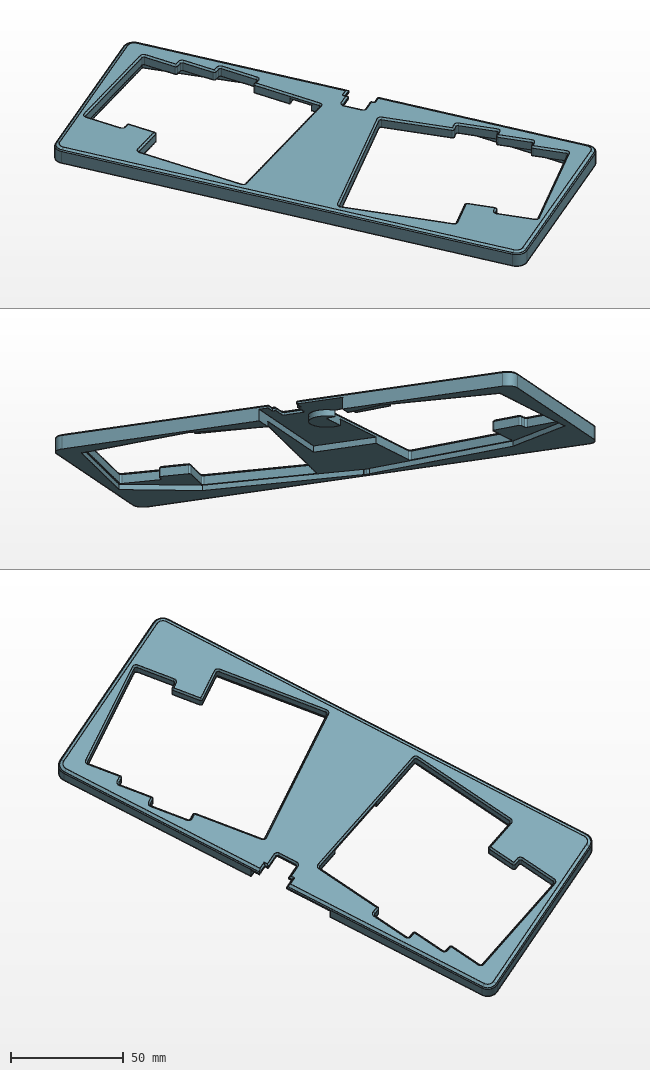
import cadquery as cq
length = 225.1
width = 91.2
height = 7.5
corner_radius = 5.0
edge_chamfer = 1.1

tilt = 7.0
column_count = 5
opening_left = -105.1
opening_right = -17.5
opening_bottom = -42.8
column_width = 19.4
column_height = 53.5
first_column_top = 23.5
column_stagger = 4.3
stagger_steps = [0, 1, 2, 1, 1]
thumb_first_column = 2
opening_radius = 1.0
rim_chamfer = 0.85
column_pitch = (opening_right - opening_left - column_width) / (column_count - 1)

recess_depth = 2.5
recess_margin = 0.7
recess_inner_end = 6.8

pocket_left = -29.5
pocket_right = 11.3
pocket_front = -12.2
pocket_roof = 2.0

post_x = -12.4
post_y = 25.2
post_radius = 8.0

notch_outer_width = 14.0
notch_outer_depth = 4.7
notch_inner_width = 10.5
notch_depth = 12.2
notch_radius = 1.0


def block(x_min, x_max, y_min, y_max, top, bottom=0):
    """Box given by its limits along each axis."""
    size = (x_max - x_min, y_max - y_min, top - bottom)
    return cq.Workplane("XY").box(*size, centered=False).translate((x_min, y_min, bottom))


def tilted(shape):
    """Turn a left-hand shape clockwise about the plate centre."""
    return shape.rotate((0, 0, 0), (0, 0, 1), -tilt)


def with_mirror(shape):
    """The shape together with its mirror image about X = 0."""
    return shape.union(shape.mirror("YZ"))


def plate():
    body = cq.Workplane("XY").box(length, width, height, centered=(True, True, False))
    body = body.edges("|Z").fillet(corner_radius)
    return body.faces(">Z").edges().chamfer(edge_chamfer)


def key_opening():
    thumb_left = opening_left + thumb_first_column * column_pitch
    thumb_top = first_column_top + column_stagger
    opening = block(thumb_left, opening_right, opening_bottom, thumb_top, height)
    for column, steps in enumerate(stagger_steps):
        left = opening_left + column * column_pitch
        top = first_column_top + steps * column_stagger
        opening = opening.union(block(left, left + column_width, top - column_height, top, height))
    return tilted(opening.clean().edges("|Z").fillet(opening_radius))


def underside_recess():
    """Left half: outline around the opening, its rear edge slanting along the column stagger."""
    thumb_left = opening_left + thumb_first_column * column_pitch
    crest_x = thumb_left + column_width
    left = opening_left - recess_margin
    rear = first_column_top + recess_margin
    front = opening_bottom - recess_margin
    slope = column_stagger / column_pitch
    outline = [
        (left, rear - recess_margin * slope),
        (crest_x, rear + (crest_x - opening_left) * slope),
        (recess_inner_end, rear + max(stagger_steps) * column_stagger),
        (recess_inner_end, front),
        (thumb_left, front),
        (left, first_column_top - column_height - recess_margin),
    ]
    return tilted(cq.Workplane("XY").polyline(outline).close().extrude(recess_depth))


def centre_pocket():
    pocket = block(pocket_left, pocket_right, pocket_front, width / 2, height - pocket_roof)
    post = cq.Workplane("XY").center(post_x, post_y).circle(post_radius).extrude(height)
    return pocket.cut(post)


def rear_notch():
    rear = width / 2
    outer_half = notch_outer_width / 2
    inner_half = notch_inner_width / 2
    outer = block(-outer_half, outer_half, rear - notch_outer_depth, rear, height)
    inner = block(-inner_half, inner_half, rear - notch_depth, rear, height)
    return outer.union(inner.edges("|Z and <Y").fillet(notch_radius))


def bevel_rims(body):
    """Chamfer the top rims of the openings and the notch, leaving the outer edges alone."""
    inner_length = length - 3 * edge_chamfer
    inner_width = width - 3 * edge_chamfer
    inside = cq.selectors.BoxSelector(
        (-inner_length / 2, -inner_width / 2, 0),
        (inner_length / 2, inner_width / 2, 2 * height),
    )
    return body.faces(">Z").edges(inside).chamfer(rim_chamfer)


result = plate().cut(rear_notch()).cut(with_mirror(key_opening()))
result = bevel_rims(result)
result = result.cut(with_mirror(underside_recess())).cut(centre_pocket())